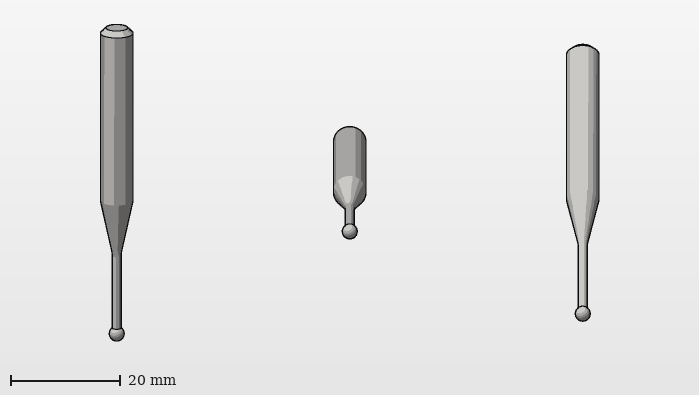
import cadquery as cq
import math

total_length = 60.0
shank_radius = 3.0
chamfer = 1.0

ball_radius = 1.4

neck_radius = 0.85
neck_top = 16.2
blend_radius = 6.0
cone_angle = math.radians(12.2)

joint_height = ball_radius + math.sqrt(ball_radius**2 - neck_radius**2)


def blend_point(angle):
    """Point (radius, height) on the blend arc after it has turned by angle."""
    radius = neck_radius + blend_radius * (1 - math.cos(angle))
    height = neck_top + blend_radius * math.sin(angle)
    return radius, height


def make_ball():
    """Ball tip with a flat on top where the neck sits."""
    profile = (
        cq.Workplane("XZ")
        .moveTo(0, 0)
        .threePointArc((ball_radius, ball_radius), (neck_radius, joint_height))
        .lineTo(0, joint_height)
        .close()
    )
    return profile.revolve(360, (0, 0, 0), (0, 1, 0))


def make_shank():
    """Neck, tangent blend, cone and chamfered cylinder turned about Z."""
    cone_start_radius, cone_start_height = blend_point(cone_angle)
    cone_length = (shank_radius - cone_start_radius) / math.tan(cone_angle)
    cone_top = cone_start_height + cone_length
    profile = (
        cq.Workplane("XZ")
        .moveTo(0, joint_height)
        .lineTo(neck_radius, joint_height)
        .lineTo(neck_radius, neck_top)
        .threePointArc(blend_point(cone_angle / 2), (cone_start_radius, cone_start_height))
        .lineTo(shank_radius, cone_top)
        .lineTo(shank_radius, total_length - chamfer)
        .lineTo(shank_radius - chamfer, total_length)
        .lineTo(0, total_length)
        .close()
    )
    return profile.revolve(360, (0, 0, 0), (0, 1, 0))


ball = make_ball()
shank = make_shank()

result = cq.Compound.makeCompound([ball.val(), shank.val()])